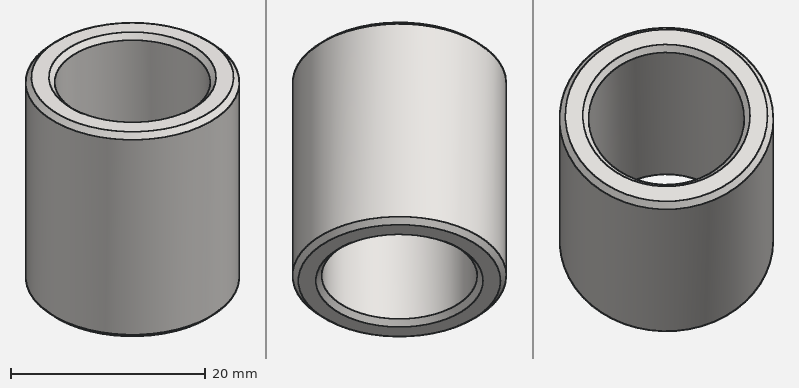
import cadquery as cq

outer_diameter = 22.0
bore_diameter = 16.0
length = 25.0
edge_chamfer = 0.6

sleeve = (
    cq.Workplane("XY")
    .circle(outer_diameter / 2)
    .circle(bore_diameter / 2)
    .extrude(length)
)

result = sleeve.faces("<Z or >Z").edges().chamfer(edge_chamfer)